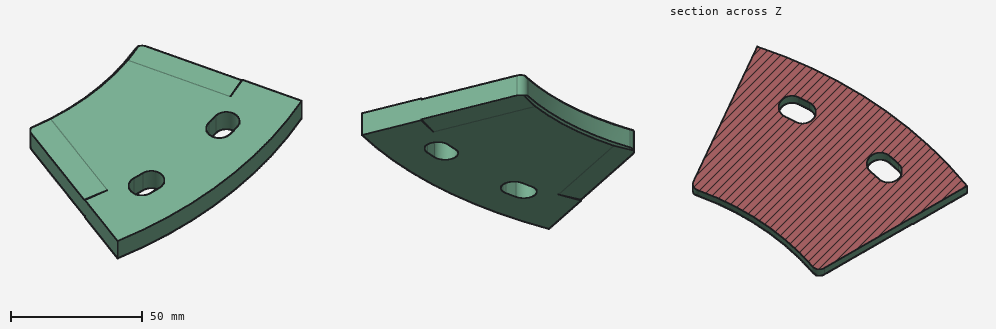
import cadquery as cq
import math

thickness = 9.51
sector_angle = 33.9
outer_radius = 175.0
inner_radius = 105.82
corner_radius = 3.2
inner_chamfer = 0.9

slot_path_radius = 155.8
slot_width = 10.0
slot_sweep = 1.7
slot_offset_angle = 9.15

taper_width = 10.0
taper_end = 149.7
taper_depth = 0.4


def polar(radius, angle):
    """Point at a radius and an angle in degrees."""
    turn = math.radians(angle)
    return (radius * math.cos(turn), radius * math.sin(turn))


def arc_band(r_in, r_out, start, end):
    """Closed outline between two radii and two angles."""
    middle = (start + end) / 2
    return (
        cq.Workplane("XY")
        .moveTo(*polar(r_in, start))
        .lineTo(*polar(r_out, start))
        .threePointArc(polar(r_out, middle), polar(r_out, end))
        .lineTo(*polar(r_in, end))
        .threePointArc(polar(r_in, middle), polar(r_in, start))
        .close()
    )


def make_plate():
    """Sector with rounded inner corners and chamfered inner arc edges."""
    blank = arc_band(inner_radius, outer_radius, 0, sector_angle).extrude(thickness)
    for angle in (0, sector_angle):
        x, y = polar(inner_radius, angle)
        corner = cq.selectors.NearestToPointSelector((x, y, thickness / 2))
        blank = blank.edges(corner).fillet(corner_radius)
    flare_radius = inner_radius + inner_chamfer
    flared_bore = (
        cq.Workplane("XZ")
        .polyline([
            (0, 0),
            (flare_radius, 0),
            (inner_radius, inner_chamfer),
            (inner_radius, thickness - inner_chamfer),
            (flare_radius, thickness),
            (0, thickness),
        ])
        .close()
        .revolve(360, (0, 0), (0, 1))
    )
    return blank.cut(flared_bore)


def make_slot(angle):
    """Through slot with round ends, its middle at the given angle."""
    start = angle - slot_sweep / 2
    end = angle + slot_sweep / 2
    half_width = slot_width / 2
    body = arc_band(slot_path_radius - half_width, slot_path_radius + half_width, start, end)
    ends = cq.Workplane("XY").pushPoints([polar(slot_path_radius, a) for a in (start, end)])
    return body.extrude(thickness).union(ends.circle(half_width).extrude(thickness))


def make_tapers():
    """Wedge cutters for both faces along the first straight side."""
    lower_wedge = (
        cq.Workplane("YZ")
        .polyline([(0, 0), (taper_width, 0), (0, taper_depth)])
        .close()
        .extrude(taper_end)
    )
    upper_wedge = lower_wedge.mirror("XY").translate((0, 0, thickness))
    return lower_wedge.union(upper_wedge)


result = make_plate()

for slot_angle in (slot_offset_angle, sector_angle - slot_offset_angle):
    result = result.cut(make_slot(slot_angle))

first_tapers = make_tapers()
mirrored_tapers = first_tapers.mirror("XZ").rotate((0, 0, 0), (0, 0, 1), sector_angle)
result = result.cut(first_tapers).cut(mirrored_tapers)